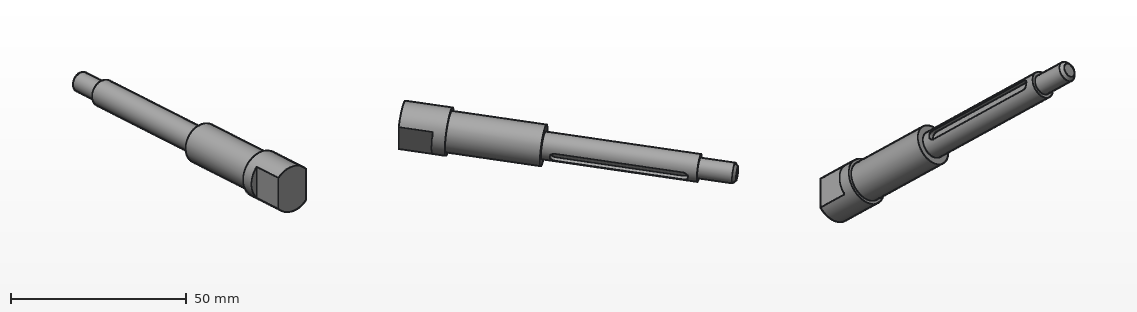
import cadquery as cq

length = 97.0
tip_diameter = 6.0
tip_length = 11.0
tip_chamfer = 1.0
stem_diameter = 8.05
stem_length = 45.0
body_diameter = 12.0
body_length = 27.4
head_diameter = 14.0
flat_length = 9.9
flat_width = 10.1
slot_length = 40.0
slot_width = 3.0
slot_depth = 1.6

head_length = length - tip_length - stem_length - body_length


def cylinder(start, segment_length, diameter):
    """Solid cylinder along +X beginning at x = start."""
    return cq.Workplane("YZ", origin=(start, 0, 0)).circle(diameter / 2).extrude(segment_length)


tip = cylinder(0, tip_length, tip_diameter).faces("<X").chamfer(tip_chamfer)
stem = cylinder(tip_length, stem_length, stem_diameter)

slot_floor = stem_diameter / 2 - slot_depth
slot_cut = (
    cq.Workplane("XZ", origin=(tip_length + stem_length / 2, slot_floor, 0))
    .slot2D(slot_length, slot_width)
    .extrude(-stem_diameter / 2)
)
stem = stem.cut(slot_cut)

body = cylinder(tip_length + stem_length, body_length, body_diameter)
head = cylinder(length - head_length, head_length, head_diameter)

flat_depth = (head_diameter - flat_width) / 2
for side in (-1, 1):
    flat_cut = cq.Workplane("XY").box(flat_length, flat_depth, head_diameter).translate(
        (length - flat_length / 2, side * (flat_width + flat_depth) / 2, 0)
    )
    head = head.cut(flat_cut)

result = tip.union(stem).union(body).union(head)